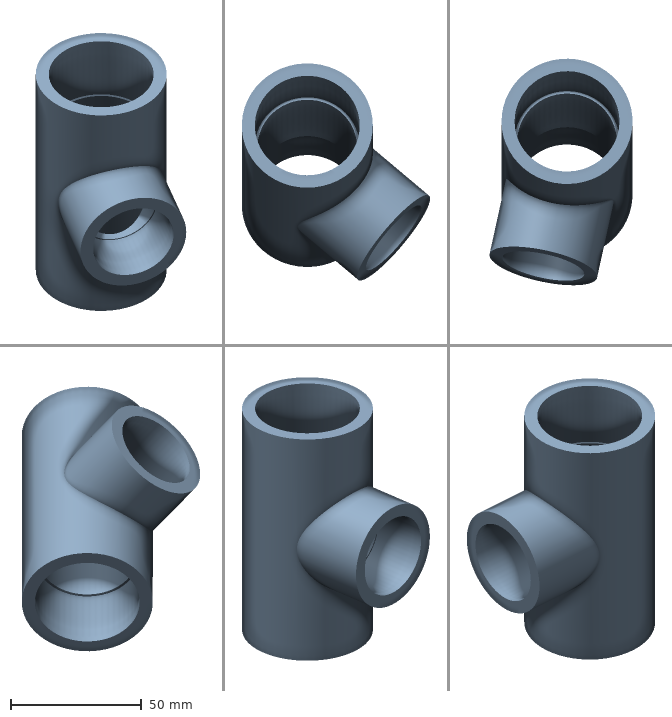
import cadquery as cq

run_length = 96.0
run_diameter = 50.0
run_socket_diameter = 40.0
run_bore_diameter = 38.0
run_socket_depth = 26.0

branch_diameter = 42.0
branch_socket_diameter = 32.0
branch_bore_diameter = 31.0
branch_socket_depth = 22.0
branch_projection = 19.0
branch_reach = run_diameter / 2 + branch_projection


def upright_cylinder(diameter, bottom, height):
    """Cylinder on the Z axis, starting at the given height."""
    return cq.Workplane("XY").workplane(offset=bottom).circle(diameter / 2).extrude(height)


def branch_cylinder(diameter, start, length):
    """Cylinder on the X axis, starting at the given X."""
    return cq.Workplane("YZ").workplane(offset=start).circle(diameter / 2).extrude(length)


run_bottom = -run_length / 2
body = upright_cylinder(run_diameter, run_bottom, run_length)
body = body.union(branch_cylinder(branch_diameter, 0, branch_reach))

body = body.cut(upright_cylinder(run_bore_diameter, run_bottom, run_length))
for socket_bottom in (run_bottom, run_length / 2 - run_socket_depth):
    body = body.cut(upright_cylinder(run_socket_diameter, socket_bottom, run_socket_depth))

body = body.cut(branch_cylinder(branch_bore_diameter, 0, branch_reach))
socket_start = branch_reach - branch_socket_depth
body = body.cut(branch_cylinder(branch_socket_diameter, socket_start, branch_socket_depth))

result = body